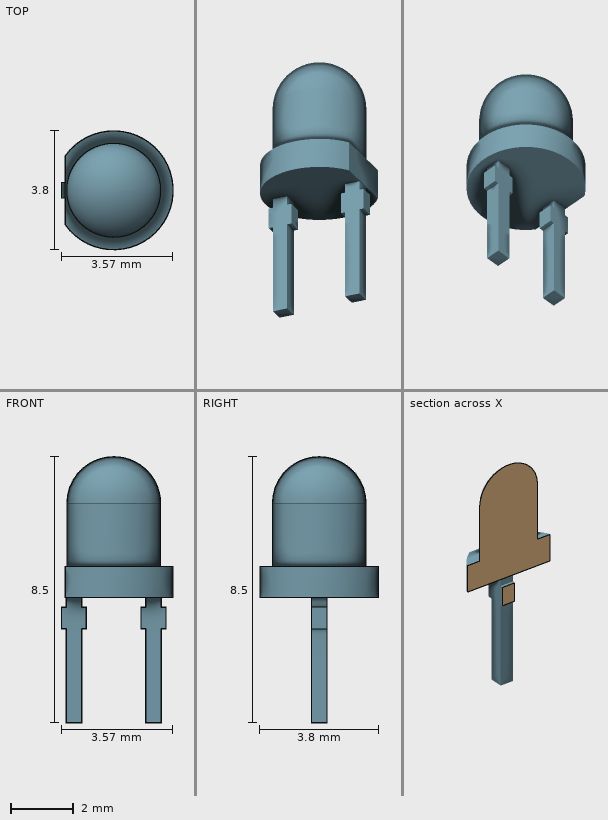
import cadquery as cq

lens_radius = 1.5
lens_straight_height = 2.0

flange_radius = 1.9
flange_height = 1.0
flat_distance = 1.55

lead_pitch = 2.54
lead_thickness = 0.5
lead_length = 4.0
stop_width = 0.8
stop_height = 0.7
stop_gap = 0.3


def make_lens():
    """Revolved profile: straight wall topped by a quarter-circle arc."""
    dome_base = flange_height + lens_straight_height
    return (
        cq.Workplane("XZ")
        .moveTo(0, flange_height)
        .lineTo(lens_radius, flange_height)
        .lineTo(lens_radius, dome_base)
        .radiusArc((0, dome_base + lens_radius), -lens_radius)
        .close()
        .revolve(360, (0, 0, 0), (0, 1, 0))
    )


def make_flange():
    """Disc cut off by a plane at the flat."""
    disc = cq.Workplane("XY").circle(flange_radius).extrude(flange_height)
    keep = cq.Workplane("XY").box(
        flat_distance + flange_radius,
        2 * flange_radius,
        flange_height,
        centered=(False, True, False),
    )
    return disc.intersect(keep.translate((-flat_distance, 0, 0)))


def make_lead(x_center):
    """Square pin hanging below the flange, widened in X at the stop."""
    upright = (True, True, False)
    pin = cq.Workplane("XY").box(lead_thickness, lead_thickness, lead_length, centered=upright)
    stop = cq.Workplane("XY").box(stop_width, lead_thickness, stop_height, centered=upright)
    pin = pin.translate((x_center, 0, -lead_length))
    stop = stop.translate((x_center, 0, -stop_gap - stop_height))
    return pin.union(stop)


result = make_flange().union(make_lens())
for side in (-1, 1):
    result = result.union(make_lead(side * lead_pitch / 2))